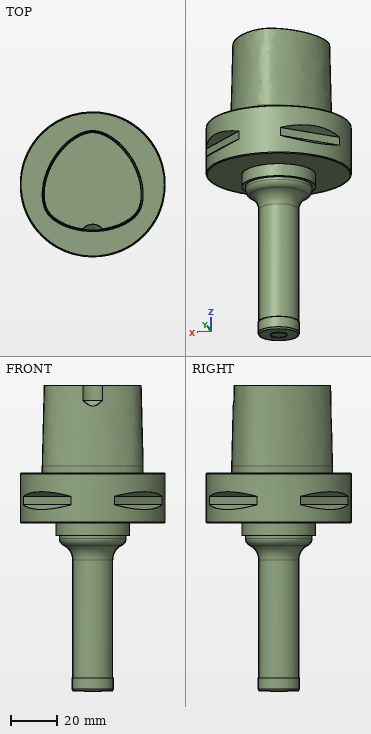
import cadquery as cq
import math

overall_length = 133.0
flange_top = 95.0
flange_bottom = 73.2
taper_start = 98.0
collar_bottom = 67.7
neck_rim_bottom = 66.5
shank_top = 57.2
tip_top = 5.9

flange_diameter = 63.0
collar_diameter = 32.0
neck_diameter = 29.0
shank_diameter = 17.4
tip_diameter = 18.0

flange_chamfer = 0.4
neck_convex_radius = 3.3

lobe_mean_radius = 22.0
lobe_eccentricity = 1.5
taper_rate = 1 / 20
lobe_curve_points = 72

notch_radius = 5.3
notch_axis_y = -22.6
notch_shoulder = 126.5
notch_cone_angle = 45.0

groove_count = 4
groove_first_angle = 45.0
groove_depth = 3.6
groove_floor_width = 3.6
groove_flank_angle = 30.0
groove_floor_bottom = 81.1
groove_center_z = groove_floor_bottom + groove_floor_width / 2

tip_chamfer_width = 0.4
tip_chamfer_height = 0.8
pilot_diameter = 7.2
pilot_height = 0.3


def lobe_section(mean_radius, z):
    """Closed constant-width outline with three lobes, one of them toward +Y."""

    def point(t):
        angle = 2 * math.pi * t
        phase = 3 * (angle - math.pi / 2)
        support = mean_radius + lobe_eccentricity * math.cos(phase)
        slope = -3 * lobe_eccentricity * math.sin(phase)
        x = support * math.cos(angle) - slope * math.sin(angle)
        y = support * math.sin(angle) + slope * math.cos(angle)
        return (x, y)

    points = [point(i / lobe_curve_points) for i in range(lobe_curve_points)]
    return cq.Workplane("XY", origin=(0, 0, z)).spline(points, periodic=True).close()


def make_taper_shank():
    """Straight lobed foot with a lobed taper above it."""
    foot = lobe_section(lobe_mean_radius, flange_top).extrude(taper_start - flange_top)
    top_radius = lobe_mean_radius - (overall_length - taper_start) * taper_rate / 2
    lower_wire = lobe_section(lobe_mean_radius, taper_start).val()
    upper_wire = lobe_section(top_radius, overall_length).val()
    taper = cq.Solid.makeLoft([lower_wire, upper_wire], True)
    return foot.union(cq.Workplane(taper))


def make_notch_cutter():
    """Drill shape: a cylinder with a conical point."""
    cone_height = notch_radius * math.tan(math.radians(notch_cone_angle))
    profile = (
        cq.Workplane("XZ")
        .moveTo(0, notch_shoulder - cone_height)
        .lineTo(notch_radius, notch_shoulder)
        .lineTo(notch_radius, overall_length)
        .lineTo(0, overall_length)
        .close()
    )
    return profile.revolve(360, (0, 0, 0), (0, 1, 0)).translate((0, notch_axis_y, 0))


def make_flange():
    height = flange_top - flange_bottom
    flange = cq.Workplane("XY", origin=(0, 0, flange_bottom)).circle(flange_diameter / 2).extrude(height)
    return flange.faces("<Z or >Z").chamfer(flange_chamfer)


def make_groove_cutter(angle):
    """Straight trapezoidal groove across the rim, facing the given direction."""
    outer_x = flange_diameter / 2
    floor_x = outer_x - groove_depth
    half_floor = groove_floor_width / 2
    half_mouth = half_floor + groove_depth * math.tan(math.radians(groove_flank_angle))
    cutter = (
        cq.Workplane("XZ", origin=(0, 0, groove_center_z))
        .moveTo(floor_x, -half_floor)
        .lineTo(outer_x, -half_mouth)
        .lineTo(outer_x, half_mouth)
        .lineTo(floor_x, half_floor)
        .close()
        .extrude(flange_diameter / 2, both=True)
    )
    return cutter.rotate((0, 0, 0), (0, 0, 1), angle)


def make_stem():
    """Collar, S-shaped neck and shank turned about the Z axis."""
    collar_radius = collar_diameter / 2
    neck_radius = neck_diameter / 2
    shank_radius = shank_diameter / 2

    step = neck_radius - shank_radius
    drop = neck_rim_bottom - shank_top
    sweep = 2 * math.atan2(step, drop)
    concave_radius = drop / math.sin(sweep) - neck_convex_radius
    convex_center_x = neck_radius - neck_convex_radius
    concave_center_x = shank_radius + concave_radius

    def convex_point(angle):
        x = convex_center_x + neck_convex_radius * math.cos(angle)
        return (x, neck_rim_bottom - neck_convex_radius * math.sin(angle))

    def concave_point(angle):
        x = concave_center_x - concave_radius * math.cos(angle)
        return (x, shank_top + concave_radius * math.sin(angle))

    profile = (
        cq.Workplane("XZ")
        .moveTo(0, flange_bottom)
        .lineTo(collar_radius, flange_bottom)
        .lineTo(collar_radius, collar_bottom)
        .lineTo(neck_radius, collar_bottom)
        .lineTo(neck_radius, neck_rim_bottom)
        .threePointArc(convex_point(sweep / 2), convex_point(sweep))
        .threePointArc(concave_point(sweep / 2), (shank_radius, shank_top))
        .lineTo(shank_radius, tip_top)
        .lineTo(0, tip_top)
        .close()
    )
    return profile.revolve(360, (0, 0, 0), (0, 1, 0))


def make_holder():
    flange = make_flange()
    for index in range(groove_count):
        angle = groove_first_angle + index * 360 / groove_count
        flange = flange.cut(make_groove_cutter(angle))
    taper_shank = make_taper_shank().cut(make_notch_cutter())
    return flange.union(taper_shank).union(make_stem())


def make_tip():
    """Cutting tip: a chamfered disc with a low round pilot on its end."""
    tip_radius = tip_diameter / 2
    pilot_radius = pilot_diameter / 2
    profile = (
        cq.Workplane("XZ")
        .moveTo(0, 0)
        .lineTo(pilot_radius, 0)
        .lineTo(pilot_radius, pilot_height)
        .lineTo(tip_radius - tip_chamfer_width, pilot_height)
        .lineTo(tip_radius, pilot_height + tip_chamfer_height)
        .lineTo(tip_radius, tip_top)
        .lineTo(0, tip_top)
        .close()
    )
    return profile.revolve(360, (0, 0, 0), (0, 1, 0))


holder = make_holder()
tip = make_tip()
result = cq.Compound.makeCompound([*holder.solids().vals(), tip.val()])